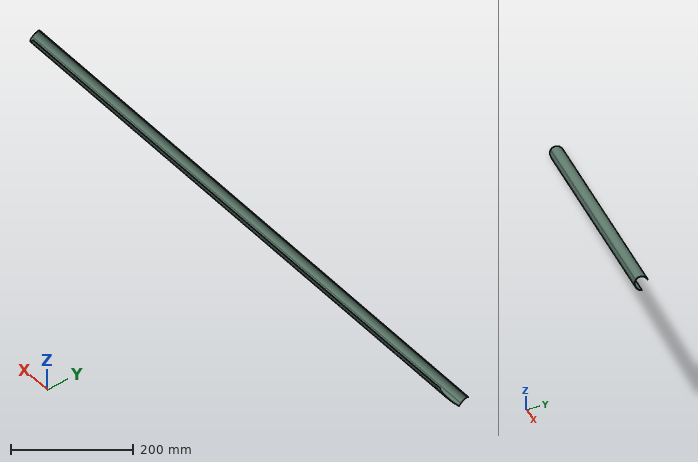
import cadquery as cq
import math

length = 949.0
outer_radius = 12.0
wall = 1.3
fall_per_x = 0.237
rise_per_x = 0.367
arc_start = 27
arc_seam = 147
arc_end = 270
trim_length = 70.0

outer_diameter = 2 * outer_radius
inner_radius = outer_radius - wall


def on_circle(radius, angle):
    turn = math.radians(angle)
    return radius * math.cos(turn), radius * math.sin(turn)


def arc_band(start, end):
    """Curved strip of the shell, swept straight along the axis."""
    middle = (start + end) / 2
    return (
        section_plane.moveTo(*on_circle(outer_radius, start))
        .threePointArc(on_circle(outer_radius, middle), on_circle(outer_radius, end))
        .lineTo(*on_circle(inner_radius, end))
        .threePointArc(on_circle(inner_radius, middle), on_circle(inner_radius, start))
        .close()
        .extrude(length)
    )


axis = cq.Vector(1, -fall_per_x, rise_per_x)
across = cq.Vector(fall_per_x, 1, 0)
bar_plane = cq.Plane(origin=(0, 0, 0), xDir=across, normal=axis)
section_plane = cq.Workplane(bar_plane)

shell = arc_band(arc_start, arc_seam).union(arc_band(arc_seam, arc_end), clean=False)

trim_radius = (trim_length**2 + outer_radius**2) / (2 * outer_radius)
half_turn = math.asin(trim_length / trim_radius) / 2
trim_middle = (
    trim_length - trim_radius * math.sin(half_turn),
    trim_radius * (1 - math.cos(half_turn)) - outer_radius,
)
trim_plane = cq.Plane(origin=(0, 0, 0), xDir=axis, normal=across * -1)
trim = (
    cq.Workplane(trim_plane)
    .moveTo(0, 0)
    .threePointArc(trim_middle, (trim_length, -outer_radius))
    .lineTo(trim_length, -outer_diameter)
    .lineTo(-outer_radius, -outer_diameter)
    .lineTo(-outer_radius, 0)
    .close()
    .extrude(outer_diameter, both=True)
)

result = shell.cut(trim, clean=False)